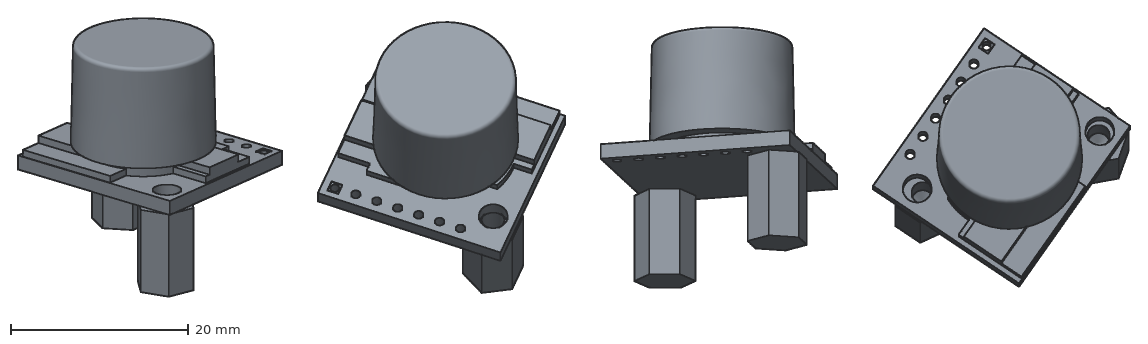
import cadquery as cq
import math


total_height = 25.42
standoff_height = 10.0
board_thickness = 1.7
base_thickness = 0.81
arm_thickness = 0.9

board_length = 22.17
board_width = 20.0
board_top = board_thickness
arm_bottom = board_top + base_thickness
knob_bottom = arm_bottom + arm_thickness
knob_top = total_height - standoff_height

axis_x = 11.03
axis_y = 8.87
knob_bottom_radius = 8.2
knob_top_radius = 7.95
knob_edge_radius = 0.45
collar_radius = 6.38

left_end = 0.64
right_end = 21.8
left_plate_end = 13.37
left_plate_front = 0.1
left_plate_back = 8.72
lobe_back = 12.13
right_plate_front = 6.8
right_plate_back = 14.62
tab_right = 17.95
tab_back = 15.68

arm_width = 5.13
left_arm_front = 2.85
right_arm_front = 7.52

pin_count = 7
pin_pitch = 2.55
last_pin_x = 20.65
pin_row_y = 18.6
pin_hole_diameter = 1.07
last_pin_hole_diameter = 1.0
recess_side = 1.3
recess_depth = 0.13

standoff_across_flats = 6.0
standoff_bore_diameter = 2.52
standoff_bore_depth = 4.07
bore_tip_angle = 118.0
left_standoff = (2.82, 15.12)
left_standoff_turn = 90.0
left_mount_hole = (2.57, 15.7)
right_standoff = (19.52, 2.5)
right_standoff_turn = 15.0
right_mount_hole = (19.73, 2.47)
mount_hole_diameter = 3.25


def box(x_min, x_max, y_min, y_max, z_min, height):
    """Upright block given by its side limits, floor and height."""
    size = (x_max - x_min, y_max - y_min, height)
    return cq.Workplane("XY").box(*size, centered=False).translate((x_min, y_min, z_min))


def cylinder(center, radius, z_min, height):
    """Upright cylinder given by its axis, radius, floor and height."""
    return cq.Workplane("XY", origin=(*center, z_min)).circle(radius).extrude(height)


def standoff(center, turn):
    """Hexagonal pillar below the board with a blind bore ending in a drill cone."""
    corner_diameter = standoff_across_flats / math.cos(math.radians(30))
    pillar = cq.Workplane("XY").polygon(6, corner_diameter).extrude(-standoff_height)
    bore_radius = standoff_bore_diameter / 2
    tip_length = bore_radius / math.tan(math.radians(bore_tip_angle / 2))
    bore = (
        cq.Workplane("XZ")
        .lineTo(bore_radius, 0)
        .lineTo(bore_radius, -standoff_bore_depth)
        .lineTo(0, -standoff_bore_depth - tip_length)
        .close()
        .revolve(360, (0, 0), (0, 1))
    )
    return pillar.cut(bore).rotate((0, 0, 0), (0, 0, 1), turn).translate((*center, 0))


def drilled_board():
    """Board with the mounting holes, the pin holes and the square recess."""
    board = box(0, board_length, 0, board_width, 0, board_thickness)
    for mount_hole in (left_mount_hole, right_mount_hole):
        board = board.cut(cylinder(mount_hole, mount_hole_diameter / 2, 0, board_thickness))
    for index in range(1, pin_count):
        pin = (last_pin_x - index * pin_pitch, pin_row_y)
        board = board.cut(cylinder(pin, pin_hole_diameter / 2, 0, board_thickness))
    last_pin = (last_pin_x, pin_row_y)
    board = board.cut(cylinder(last_pin, last_pin_hole_diameter / 2, 0, board_thickness))
    recess = (
        cq.Workplane("XY", origin=(*last_pin, board_top))
        .rect(recess_side, recess_side)
        .extrude(-recess_depth)
    )
    return board.cut(recess)


def base_plates():
    """Lower layer: left plate with its round lobe, right plate with its back tab."""
    left_plate = box(left_end, left_plate_end, left_plate_front, left_plate_back, board_top, base_thickness)
    lobe_limits = box(left_end, axis_x, left_plate_back, lobe_back, board_top, base_thickness)
    lobe = cylinder((axis_x, axis_y), knob_bottom_radius, board_top, base_thickness).intersect(lobe_limits)
    right_plate = box(axis_x, right_end, right_plate_front, right_plate_back, board_top, base_thickness)
    tab = box(axis_x, tab_right, axis_y, tab_back, board_top, base_thickness)
    return left_plate.union(lobe).union(right_plate).union(tab)


def arms():
    """Upper layer: one arm reaching out of the collar on each side."""
    left_arm_back = left_arm_front + arm_width
    right_arm_back = right_arm_front + arm_width
    left_arm = box(left_end, axis_x, left_arm_front, left_arm_back, arm_bottom, arm_thickness)
    right_arm = box(axis_x, right_end, right_arm_front, right_arm_back, arm_bottom, arm_thickness)
    return left_arm.union(right_arm)


def knob():
    """Slightly tapered knob with a rounded top edge."""
    body = (
        cq.Workplane("XY", origin=(axis_x, axis_y, knob_bottom))
        .circle(knob_bottom_radius)
        .workplane(offset=knob_top - knob_bottom)
        .circle(knob_top_radius)
        .loft(ruled=True)
    )
    return body.faces(">Z").edges().fillet(knob_edge_radius)


collar = cylinder((axis_x, axis_y), collar_radius, board_top, knob_bottom - board_top)

result = (
    drilled_board()
    .union(standoff(left_standoff, left_standoff_turn))
    .union(standoff(right_standoff, right_standoff_turn))
    .union(base_plates())
    .union(arms())
    .union(collar)
    .union(knob())
)